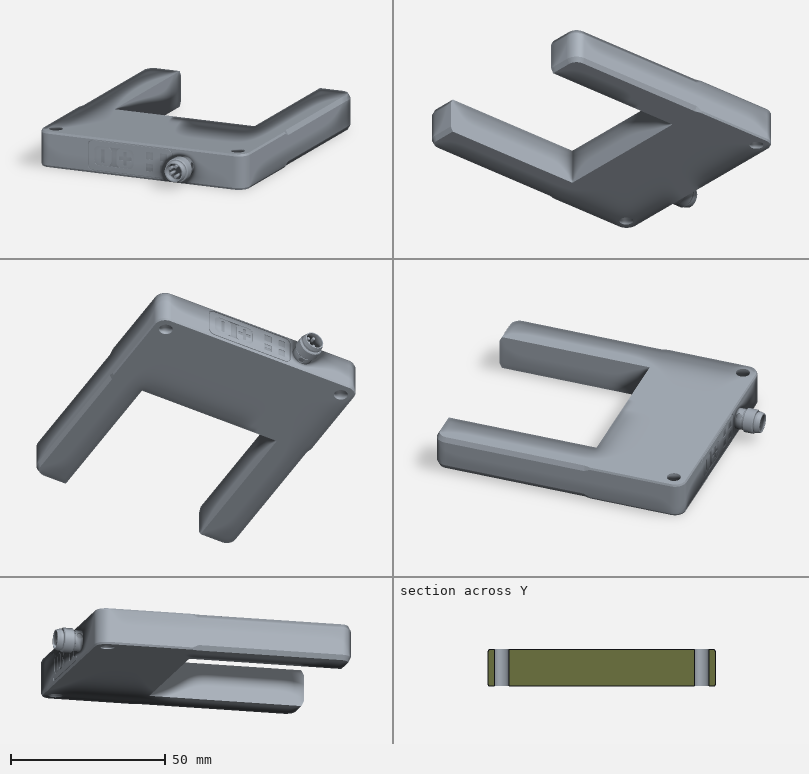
import cadquery as cq
import math

TOTAL_LENGTH = 94.5
WIDTH = 74.0
THICKNESS = 12.0
HOUSING_LENGTH = 86.0
LEG_WIDTH = 12.0
BASE_LENGTH = 34.0
CORNER_RADIUS = 4.0
OVERLAP = 0.9

BASE_CHAMFER = (0.33, 0.7)
LEG_CHAMFER = (0.85, 1.6)
CHAMFER_RUNOUT = 2.1

HOLE_DIAMETER = 4.5
HOLE_INSET = 4.5

PANEL_WIDTH = 30.2
PANEL_HEIGHT = 10.4
PANEL_X = -3.9
PANEL_RADIUS = 2.0
PANEL_GROOVE = 0.3
KEY_WIDTH = 6.05
KEY_HEIGHT = 6.4
KEY_RADIUS = 1.5
KEY_RECESS = 0.3
KEY_TOP = 0.1
MINUS_X = -13.7
PLUS_X = -5.8
SYMBOL_LENGTH = 4.5
SYMBOL_STROKE = 1.2
LAMP_SIZE = 2.55
LAMP_DEPTH = 0.2
LAMP_STEP = 0.1
LAMP_COLUMNS = (2.9, 8.0)
LAMP_ROW = 2.0

PLUG_X = 15.5
PLUG_LENGTH = TOTAL_LENGTH - HOUSING_LENGTH
FLANGE_DIAMETER = 6.9
FLANGE_LENGTH = 2.4
NECK_DIAMETER = 6.4
NUT_DIAMETER = 8.0
NUT_START = 2.8
NUT_END = 6.3
RING_DIAMETER = 7.2
RING_START = 6.7
RING_END = 7.3
TIP_DIAMETER = 6.4
NUT_CHAMFER = 0.3
BORE_DIAMETER = 5.8
BORE_DEPTH = 4.7
PIN_DIAMETER = 1.0
PIN_LENGTH = 3.8
PIN_POINTS = ((0.2, 1.65), (0.2, -1.65), (-1.65, 0.9), (-1.65, -0.9))
DIMPLE_DIAMETER = 2.0
DIMPLE_DEPTH = 0.5
DIMPLE_COUNT = 3
DIMPLE_START_ANGLE = 135.0


def rounded_layer(inset, z):
    """Face bounded by the housing outline, moved inward by inset, at height z."""
    return (
        cq.Sketch()
        .rect(WIDTH - 2 * inset, HOUSING_LENGTH - 2 * inset)
        .vertices()
        .fillet(CORNER_RADIUS - inset)
        .moved(cq.Location(cq.Vector(0, HOUSING_LENGTH / 2, z)))
    )


def chamfered_block(chamfer):
    """Rounded block of the full housing size with one chamfer along its top and bottom rims."""
    inset, height = chamfer
    shoulder = THICKNESS / 2 - height
    block = cq.Workplane().placeSketch(rounded_layer(0, -shoulder)).extrude(2 * shoulder)
    cap = (
        cq.Workplane()
        .placeSketch(rounded_layer(0, shoulder), rounded_layer(inset, THICKNESS / 2))
        .loft(ruled=True)
    )
    return block.union(cap).union(cap.mirror("XY"))


def cross_section(chamfer):
    """Corner points of the XZ section of the plate for one chamfer."""
    inset, height = chamfer
    x = WIDTH / 2
    z = THICKNESS / 2
    return [
        (x, height - z), (x, z - height), (x - inset, z), (inset - x, z),
        (-x, z - height), (-x, height - z), (inset - x, -z), (x - inset, -z),
    ]


def slab(y_start, y_end):
    """Oversized block covering the whole section between two Y positions."""
    size = 2 * WIDTH
    return cq.Workplane().box(size, y_end - y_start, size).translate((0, (y_start + y_end) / 2, 0))


def housing():
    runout_start = BASE_LENGTH - CHAMFER_RUNOUT
    base = chamfered_block(BASE_CHAMFER).intersect(slab(-OVERLAP, runout_start))
    legs = chamfered_block(LEG_CHAMFER).intersect(slab(BASE_LENGTH, HOUSING_LENGTH + OVERLAP))
    runout = (
        cq.Workplane("XZ", origin=(0, runout_start, 0))
        .polyline(cross_section(BASE_CHAMFER)).close()
        .workplane(offset=-CHAMFER_RUNOUT)
        .polyline(cross_section(LEG_CHAMFER)).close()
        .loft(ruled=True)
    )
    mouth = slab(BASE_LENGTH, HOUSING_LENGTH + OVERLAP).intersect(
        cq.Workplane().box(WIDTH - 2 * LEG_WIDTH, 4 * HOUSING_LENGTH, 2 * THICKNESS)
    )
    hole_x = WIDTH / 2 - HOLE_INSET
    holes = (
        cq.Workplane(origin=(0, 0, -THICKNESS))
        .pushPoints([(-hole_x, HOLE_INSET), (hole_x, HOLE_INSET)])
        .circle(HOLE_DIAMETER / 2)
        .extrude(2 * THICKNESS)
    )
    return base.union(runout).union(legs).cut(mouth).cut(holes)


def front_pad(width, height, x, z, radius, y_start, depth):
    """Rectangle on a plane parallel to the front face, extruded inward (+Y)."""
    pad = cq.Workplane("XZ", origin=(x, y_start, z)).rect(width, height).extrude(-depth)
    if radius > 0:
        pad = pad.edges("|Y").fillet(radius)
    return pad


def panel_groove():
    outer = front_pad(PANEL_WIDTH, PANEL_HEIGHT, PANEL_X, 0, PANEL_RADIUS, 0, PANEL_GROOVE)
    inner = front_pad(
        PANEL_WIDTH - 2 * PANEL_GROOVE, PANEL_HEIGHT - 2 * PANEL_GROOVE,
        PANEL_X, 0, PANEL_RADIUS - PANEL_GROOVE, 0, PANEL_GROOVE,
    )
    return outer.cut(inner)


def key_recess():
    """Shared recess of both keys, with the keys left standing and their symbols sunk into them."""
    recess = front_pad(
        PLUS_X - MINUS_X + KEY_WIDTH, KEY_HEIGHT, (MINUS_X + PLUS_X) / 2, 0, KEY_RADIUS, 0, KEY_RECESS
    )
    key_rise = KEY_RECESS - KEY_TOP
    for x in (MINUS_X, PLUS_X):
        recess = recess.cut(front_pad(KEY_WIDTH, KEY_HEIGHT, x, 0, KEY_RADIUS, KEY_TOP, key_rise))
        recess = recess.union(front_pad(SYMBOL_STROKE, SYMBOL_LENGTH, x, 0, 0, 0, KEY_RECESS))
    return recess.union(front_pad(SYMBOL_LENGTH, SYMBOL_STROKE, PLUS_X, 0, 0, 0, KEY_RECESS))


def lamp_windows():
    """Four square windows; the lower one nearest the keys is split by a step at half height."""
    windows = (
        cq.Workplane("XZ")
        .pushPoints([(x, z) for x in LAMP_COLUMNS for z in (-LAMP_ROW, LAMP_ROW)])
        .rect(LAMP_SIZE, LAMP_SIZE)
        .extrude(-LAMP_DEPTH)
    )
    half_z = -LAMP_ROW - LAMP_SIZE / 4
    return windows.union(
        front_pad(LAMP_SIZE, LAMP_SIZE / 2, LAMP_COLUMNS[0], half_z, 0, 0, LAMP_DEPTH + LAMP_STEP)
    )


def plug_section(diameter, start, end):
    """Cylinder on the plug axis between two distances from the front face."""
    return (
        cq.Workplane("XZ", origin=(PLUG_X, -start, 0))
        .circle(diameter / 2)
        .extrude(end - start)
    )


def plug_taper():
    """Cone from the ring down to the tip of the plug."""
    return (
        cq.Workplane("XZ", origin=(PLUG_X, -RING_END, 0))
        .circle(RING_DIAMETER / 2)
        .workplane(offset=PLUG_LENGTH - RING_END)
        .circle(TIP_DIAMETER / 2)
        .loft()
    )


def plug():
    nut = plug_section(NUT_DIAMETER, NUT_START, NUT_END).edges().chamfer(NUT_CHAMFER)
    tip = plug_section(RING_DIAMETER, RING_START, RING_END).union(plug_taper())
    body = plug_section(FLANGE_DIAMETER, -OVERLAP, FLANGE_LENGTH)
    body = body.union(plug_section(NECK_DIAMETER, 0, RING_START))
    body = body.union(nut)
    body = body.union(tip)
    body = body.cut(plug_section(BORE_DIAMETER, PLUG_LENGTH - BORE_DEPTH, PLUG_LENGTH))
    pins = (
        cq.Workplane("XZ", origin=(PLUG_X, BORE_DEPTH - PLUG_LENGTH, 0))
        .pushPoints(PIN_POINTS)
        .circle(PIN_DIAMETER / 2)
        .extrude(PIN_LENGTH)
    )
    body = body.union(pins)
    for index in range(DIMPLE_COUNT):
        angle = math.radians(DIMPLE_START_ANGLE + index * 360 / DIMPLE_COUNT)
        outward = cq.Vector(math.cos(angle), 0, math.sin(angle))
        centre = cq.Vector(PLUG_X, -FLANGE_LENGTH / 2, 0)
        floor = centre + outward * (FLANGE_DIAMETER / 2 - DIMPLE_DEPTH)
        dimple = cq.Solid.makeCylinder(DIMPLE_DIAMETER / 2, DIMPLE_DEPTH + OVERLAP, floor, outward)
        body = body.cut(cq.Workplane(dimple))
    return body


result = housing().cut(panel_groove()).cut(key_recess()).cut(lamp_windows()).union(plug())